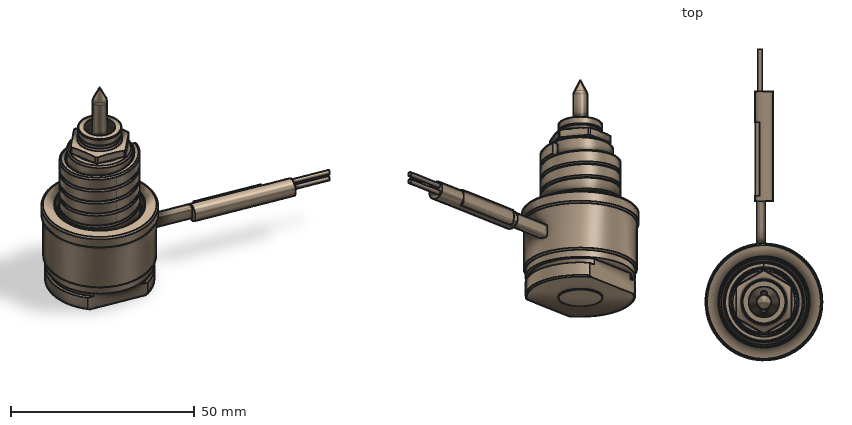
import cadquery as cq
import math

base_z = 0.35
groove_z = 4.4
step_z = 6.1
step_top_z = 8.1
flange_low_z = 22.2
flange_top_z = 25.3
recess_ledge_z = 22.0
recess_floor_z = 21.0
core_top_z = 44.15
hex_low_z = 44.8
hex_rim_z = 46.85
flare_low_z = 47.3
neck_low_z = 47.8
collar_low_z = 49.1
collar_top_z = 51.1
tip_z = 64.2

boss_r = 6.0
base_r = 15.0
groove_r = 14.0
body_r = 15.5
flange_r = 16.0
recess_r = 12.5
recess_ledge_r = 11.7
core_r = 9.0
under_hex_r = 7.0
hex_corner_r = 8.5
flare_r = 6.2
neck_r = 5.7
collar_r = 6.0
bore_r = 4.2
pin_r = 2.0

base_chamfer = 0.4
edge_chamfer = 0.5
recess_chamfer = 0.3
collar_chamfer = 0.2
base_across_flats = 24.0
hex_across_flats = 15.0

bore_floor_z = 43.0
floor_cone_height = 2.0
dimple_r = 0.85
dimple_offset = 2.4

tip_half_angle = math.radians(26)
tip_blend_r = pin_r

thread_r = 11.0
thread_pitch = 4.0
thread_turns = 6
thread_end_z = 42.85
thread_groove = 0.45
thread_inner_chamfer = 0.5
cutter_margin = 1.0

cable_z = 14.8
lead_left_x = -2.0
lead_width = 2.4
lead_height = 3.7
lead_edge_r = 0.55
lead_start_y = 14.0
sleeve_r = 2.5
sleeve_start_y = 27.5
sleeve_end_y = 57.5
window_start_y = 29.0
window_end_y = 49.0
window_floor_x = -1.15
pad_face_x = -2.4
pad_edge_r = 0.9
wire_r = 0.625
wire_x = -1.07
wire_spacing = 2.05
wire_end_y = 69.0


def revolve_about_z(profile):
    """Turn a closed (radius, height) profile about the Z axis."""
    return profile.close().revolve(360, (0, 0, 0), (0, 1, 0))


def disc(radius, low_z, high_z):
    return cq.Workplane("XY").workplane(offset=low_z).circle(radius).extrude(high_z - low_z)


def make_base():
    profile = (
        cq.Workplane("XZ")
        .moveTo(0, base_z)
        .lineTo(base_r - base_chamfer, base_z)
        .lineTo(base_r, base_z + base_chamfer)
        .lineTo(base_r, groove_z)
        .lineTo(groove_r, groove_z)
        .lineTo(groove_r, step_z)
        .lineTo(0, step_z)
    )
    flats = cq.Workplane("XY").box(base_across_flats, 2 * base_r, step_z, centered=(True, True, False))
    return revolve_about_z(profile).intersect(flats).union(disc(boss_r, 0, step_z))


def make_body():
    profile = (
        cq.Workplane("XZ")
        .moveTo(0, step_z)
        .lineTo(base_r, step_z)
        .lineTo(base_r, step_top_z)
        .lineTo(body_r, step_top_z + edge_chamfer)
        .lineTo(body_r, flange_low_z - edge_chamfer)
        .lineTo(flange_r, flange_low_z)
        .lineTo(flange_r, flange_top_z - edge_chamfer)
        .lineTo(flange_r - edge_chamfer, flange_top_z)
        .lineTo(recess_r, flange_top_z)
        .lineTo(recess_r - recess_chamfer, flange_top_z - recess_chamfer)
        .lineTo(recess_r - recess_chamfer, recess_ledge_z)
        .lineTo(recess_ledge_r, recess_ledge_z)
        .lineTo(recess_ledge_r, recess_floor_z)
        .lineTo(0, recess_floor_z)
    )
    return revolve_about_z(profile)


def sweep_thread_profile(points, turns, start_z, turn_from_y=0):
    """Sweep a (radius, rise) outline up a right-hand helix that starts at an angle from +Y."""
    helix = cq.Workplane(cq.Wire.makeHelix(thread_pitch, turns * thread_pitch, thread_r))
    outline = cq.Workplane("XZ").polyline(points).close()
    swept = outline.sweep(helix, isFrenet=True)
    return swept.rotate((0, 0, 0), (0, 0, 1), 90 + turn_from_y).translate((0, 0, start_z))


def make_thread():
    band = disc(thread_r, recess_floor_z, thread_end_z)
    v_outline = [
        (thread_r - thread_groove, 0),
        (thread_r + thread_groove, -2 * thread_groove),
        (thread_r + thread_groove, 2 * thread_groove),
    ]
    v_groove = sweep_thread_profile(v_outline, thread_turns, thread_end_z - thread_turns * thread_pitch)
    ramp_height = thread_pitch + cutter_margin
    ramp_outline = [
        (core_r - cutter_margin, -thread_inner_chamfer - cutter_margin),
        (core_r + thread_inner_chamfer, 0),
        (thread_r + cutter_margin, 0),
        (thread_r + cutter_margin, ramp_height),
        (core_r - cutter_margin, ramp_height),
    ]
    thread = band.cut(v_groove)
    lower_half = sweep_thread_profile(ramp_outline, 0.5, thread_end_z - thread_pitch)
    upper_half = sweep_thread_profile(ramp_outline, 0.5, thread_end_z - thread_pitch / 2, 180)
    return thread.cut(lower_half).cut(upper_half)


def make_core():
    profile = (
        cq.Workplane("XZ")
        .moveTo(0, recess_floor_z)
        .lineTo(core_r, recess_floor_z)
        .lineTo(core_r, core_top_z - edge_chamfer)
        .lineTo(core_r - edge_chamfer, core_top_z)
        .lineTo(0, core_top_z)
    )
    return revolve_about_z(profile).union(disc(under_hex_r, core_top_z, hex_low_z))


def make_hexagon_and_collar():
    hex_profile = (
        cq.Workplane("XZ")
        .moveTo(0, hex_low_z)
        .lineTo(hex_corner_r, hex_low_z)
        .lineTo(hex_corner_r, hex_rim_z)
        .lineTo(flare_r, flare_low_z)
        .lineTo(neck_r, neck_low_z)
        .lineTo(neck_r, collar_low_z - (collar_r - neck_r))
        .lineTo(collar_r, collar_low_z)
        .lineTo(collar_r, collar_top_z - collar_chamfer)
        .lineTo(collar_r - collar_chamfer, collar_top_z)
        .lineTo(0, collar_top_z)
    )
    corner_diameter = hex_across_flats / math.cos(math.pi / 6)
    prism = (
        cq.Workplane("XY")
        .workplane(offset=hex_low_z)
        .polygon(6, corner_diameter)
        .extrude(collar_top_z - hex_low_z)
        .rotate((0, 0, 0), (0, 0, 1), 30)
    )
    return revolve_about_z(hex_profile).intersect(prism)


def make_bore():
    """Bore around the pin, with a conical floor and two dimples beside the pin."""
    profile = (
        cq.Workplane("XZ")
        .moveTo(0, bore_floor_z + floor_cone_height)
        .lineTo(pin_r, bore_floor_z + floor_cone_height)
        .lineTo(bore_r, bore_floor_z)
        .lineTo(bore_r, collar_top_z)
        .lineTo(0, collar_top_z)
    )
    bore = revolve_about_z(profile)
    slope = floor_cone_height / (bore_r - pin_r)
    dimple_z = bore_floor_z + slope * (bore_r - dimple_offset)
    for side in (-1, 1):
        dimple = cq.Workplane("XY").sphere(dimple_r).translate((0, side * dimple_offset, dimple_z))
        bore = bore.union(dimple)
    return bore


def make_pin():
    cone_base_r = pin_r - tip_blend_r * (1 - math.cos(tip_half_angle))
    cone_base_z = tip_z - cone_base_r / math.tan(tip_half_angle)
    shank_top_z = cone_base_z - tip_blend_r * math.sin(tip_half_angle)
    blend_mid_angle = tip_half_angle / 2
    blend_mid = (
        pin_r - tip_blend_r * (1 - math.cos(blend_mid_angle)),
        shank_top_z + tip_blend_r * math.sin(blend_mid_angle),
    )
    profile = (
        cq.Workplane("XZ")
        .moveTo(0, bore_floor_z)
        .lineTo(pin_r, bore_floor_z)
        .lineTo(pin_r, shank_top_z)
        .threePointArc(blend_mid, (cone_base_r, cone_base_z))
        .lineTo(0, tip_z)
    )
    return revolve_about_z(profile)


def bar_along_y(left_x, right_x, height, start_y, end_y):
    """Rectangular bar along Y, centred on the cable height."""
    bar = cq.Workplane("XY").box(right_x - left_x, end_y - start_y, height, centered=(False, False, True))
    return bar.translate((left_x, start_y, cable_z))


def rod_along_y(radius, x, z, start_y, end_y):
    rod = cq.Workplane("XZ").center(x, z).circle(radius).extrude(start_y - end_y)
    return rod.translate((0, start_y, 0))


def make_cable():
    lead_right_x = lead_left_x + lead_width
    lead = bar_along_y(lead_left_x, lead_right_x, lead_height, lead_start_y, sleeve_start_y)
    lead = lead.edges("|Y").fillet(lead_edge_r)

    sleeve = rod_along_y(sleeve_r, 0, cable_z, sleeve_start_y, sleeve_end_y)
    window = bar_along_y(-2 * sleeve_r, window_floor_x, 2 * sleeve_r, window_start_y, window_end_y)
    pad_height = 2 * math.sqrt(sleeve_r**2 - window_floor_x**2)
    pad = bar_along_y(pad_face_x, 0, pad_height, window_start_y, window_end_y)
    pad = pad.edges("|Y and <X").fillet(pad_edge_r)

    cable = sleeve.cut(window).union(pad).union(lead)
    for side in (-1, 1):
        wire_z = cable_z + side * wire_spacing / 2
        cable = cable.union(rod_along_y(wire_r, wire_x, wire_z, window_end_y, wire_end_y))
    return cable


turned = make_base().union(make_body()).union(make_thread()).union(make_core())
turned = turned.union(make_hexagon_and_collar()).cut(make_bore())
result = turned.union(make_pin()).union(make_cable())